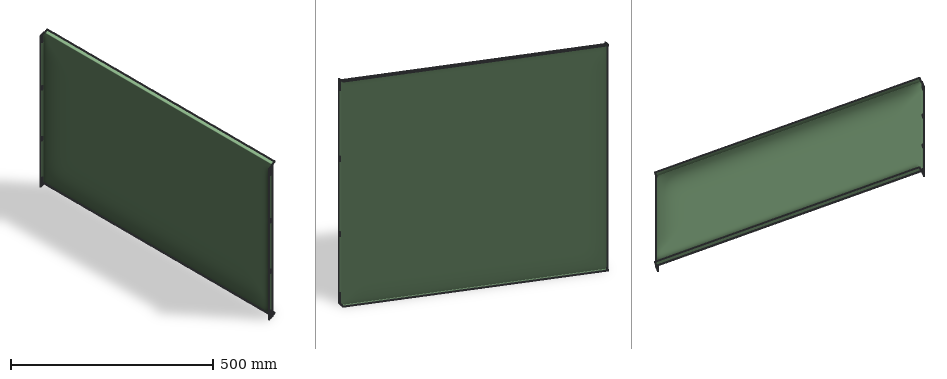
import cadquery as cq

width = 706.0
depth = 27.0
height = 598.0

thickness = 1.0
inner_radius = 0.5
outer_radius = inner_radius + thickness
rear_flange_depth = 12.0
flange_end_gap = 2.0

slot_width = 7.0
slot_length = 12.0
slot_front_margin = 6.7
end_slot_offset = 10.5
end_slot_pitch = 14.0
upper_slot_z = 87.0
slot_spacing = 200.0
lower_slot_z = upper_slot_z - slot_spacing

rear_y = depth / 2
front_y = -depth / 2
panel_front_y = rear_y - rear_flange_depth
panel_back_y = panel_front_y + thickness


def make_panel():
    """Flat sheet that stops where the bends on its four edges begin."""
    return cq.Workplane("XY").box(
        width - 2 * outer_radius, thickness, height - 2 * outer_radius
    ).translate((0, panel_front_y + thickness / 2, 0))


def bent_flange_profile(plane, half_span, outer_y, tip_y):
    """Closed L section of a bend and flange, drawn with the panel edge at half_span.

    outer_y is the panel face on the outside of the bend; tip_y is the flange tip.
    """
    direction = 1 if tip_y > outer_y else -1
    bend_start = half_span - outer_radius
    bend_y = outer_y + direction * outer_radius
    inner_y = outer_y + direction * thickness
    diagonal = 0.5 ** 0.5
    outer_mid = (bend_start + outer_radius * diagonal, bend_y - direction * outer_radius * diagonal)
    inner_mid = (bend_start + inner_radius * diagonal, bend_y - direction * inner_radius * diagonal)
    return (
        cq.Workplane(plane)
        .moveTo(bend_start, outer_y)
        .threePointArc(outer_mid, (half_span, bend_y))
        .lineTo(half_span, tip_y)
        .lineTo(half_span - thickness, tip_y)
        .lineTo(half_span - thickness, bend_y)
        .threePointArc(inner_mid, (bend_start, inner_y))
        .close()
    )


def make_side_flange():
    """Right-hand flange, bent forward, with its row of slots."""
    length = height - 2 * flange_end_gap
    flange = bent_flange_profile("XY", width / 2, panel_back_y, front_y).extrude(length / 2, both=True)
    outer_slot_z = height / 2 - end_slot_offset
    inner_slot_z = outer_slot_z - end_slot_pitch
    slot_heights = [outer_slot_z, inner_slot_z, upper_slot_z, lower_slot_z, -inner_slot_z, -outer_slot_z]
    slot_y = front_y + slot_front_margin
    slots = (
        cq.Workplane("YZ", origin=(width / 2 - thickness / 2, 0, 0))
        .pushPoints([(slot_y, z) for z in slot_heights])
        .slot2D(slot_length, slot_width, 90)
        .extrude(thickness, both=True)
    )
    return flange.cut(slots)


def make_top_flange():
    """Top flange, bent rearward."""
    length = width - 2 * flange_end_gap
    section_plane = cq.Plane(origin=(0, 0, 0), xDir=(0, 0, 1), normal=(-1, 0, 0))
    return bent_flange_profile(section_plane, height / 2, panel_front_y, rear_y).extrude(length / 2, both=True)


side_flange = make_side_flange()
top_flange = make_top_flange()

result = (
    make_panel()
    .union(side_flange)
    .union(side_flange.mirror("YZ"))
    .union(top_flange)
    .union(top_flange.mirror("XY"))
)